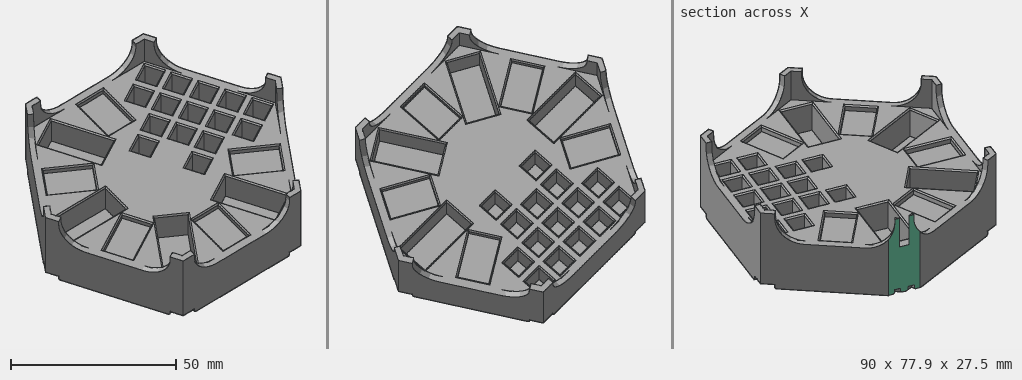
import cadquery as cq
import math

CORNER_RADIUS = 45.0
FLAT_DISTANCE = CORNER_RADIUS * math.cos(math.radians(30))
HEIGHT = 27.5
DECK_HEIGHT = 17.0
WALL = 1.9

POST_LENGTH = 4.3
OPENING_RADIUS = 9.0
OPENING_WIDTH = CORNER_RADIUS - 2 * POST_LENGTH

NOTCH_HEIGHT = 1.5
NOTCH_DEPTH = 2.0

CHAMFER = 0.45

DEEP_POCKET = 10.0
SHALLOW_POCKET = 2.0
RING_RADIUS = 28.4
LARGE_LENGTH = 20.5
LARGE_WIDTH = 10.3
LARGE_ANGLES = (0, 180, 240, 300)
SMALL_LENGTH = 15.1
SMALL_WIDTH = 9.7
SMALL_ANGLES = (30, 150, 210, 270, 330)

SQUARE_SIZE = 6.1
SQUARE_PITCH = 8.8
FIRST_ROW_Y = 32.85
SQUARE_ROWS = ((-2, -1, 0, 1, 2), (-2, -1, 0, 1, 2), (-1, 0, 1), (-1, 1))

SIDE_ANGLES = range(30, 390, 60)


def hexagon(flat_distance, bottom, top):
    """Hexagonal prism whose sides lie flat_distance from the Z axis."""
    across_corners = 2 * flat_distance / math.cos(math.radians(30))
    return cq.Workplane("XY").workplane(offset=bottom).polygon(6, across_corners).extrude(top - bottom)


def side_opening(angle):
    """Round-bottomed opening through the wall of the side facing angle."""
    opening_height = HEIGHT - DECK_HEIGHT
    opening = (
        cq.Workplane("XY")
        .box(2 * WALL, OPENING_WIDTH, 2 * opening_height)
        .edges("|X")
        .fillet(OPENING_RADIUS)
    )
    return opening.translate((FLAT_DISTANCE, 0, HEIGHT)).rotate((0, 0, 0), (0, 0, 1), angle)


def pocket(length, width, depth):
    """Rectangular pocket with a chamfered rim, sunk down from the origin."""
    well = cq.Workplane("XY").rect(length, width).extrude(-depth)
    rim = (
        cq.Workplane("XY")
        .rect(length + 2 * CHAMFER, width + 2 * CHAMFER)
        .workplane(offset=-CHAMFER)
        .rect(length, width)
        .loft(ruled=True)
    )
    return well.union(rim)


def ring_pocket(length, width, depth, angle):
    """Deck pocket pointing outward from the Z axis at the given angle."""
    placed = pocket(length, width, depth).translate((RING_RADIUS, 0, DECK_HEIGHT))
    return placed.rotate((0, 0, 0), (0, 0, 1), angle)


def half_notch(angle, end):
    """Notch under one end (+1 or -1) of the side facing angle; two meet at each corner."""
    along_side = end * (CORNER_RADIUS - POST_LENGTH) / 2
    upward = pocket(2 * NOTCH_DEPTH, POST_LENGTH, NOTCH_HEIGHT).mirror("XY")
    return upward.translate((FLAT_DISTANCE, along_side, 0)).rotate((0, 0, 0), (0, 0, 1), angle)


def square_pockets():
    """Rows of square pockets, widest row nearest the +Y side."""
    square = pocket(SQUARE_SIZE, SQUARE_SIZE, DEEP_POCKET).val()
    centers = [
        (column * SQUARE_PITCH, FIRST_ROW_Y - row * SQUARE_PITCH)
        for row, columns in enumerate(SQUARE_ROWS)
        for column in columns
    ]
    deck = cq.Workplane("XY").workplane(offset=DECK_HEIGHT)
    return deck.pushPoints(centers).eachpoint(lambda location: square.located(location))


tray = hexagon(FLAT_DISTANCE, 0, HEIGHT).cut(hexagon(FLAT_DISTANCE - WALL, DECK_HEIGHT, HEIGHT))

for side_angle in SIDE_ANGLES:
    tray = tray.cut(side_opening(side_angle))
    for side_end in (-1, 1):
        tray = tray.cut(half_notch(side_angle, side_end))

for pocket_angle in LARGE_ANGLES:
    tray = tray.cut(ring_pocket(LARGE_LENGTH, LARGE_WIDTH, DEEP_POCKET, pocket_angle))

for pocket_angle in SMALL_ANGLES:
    tray = tray.cut(ring_pocket(SMALL_LENGTH, SMALL_WIDTH, SHALLOW_POCKET, pocket_angle))

result = tray.cut(square_pockets())